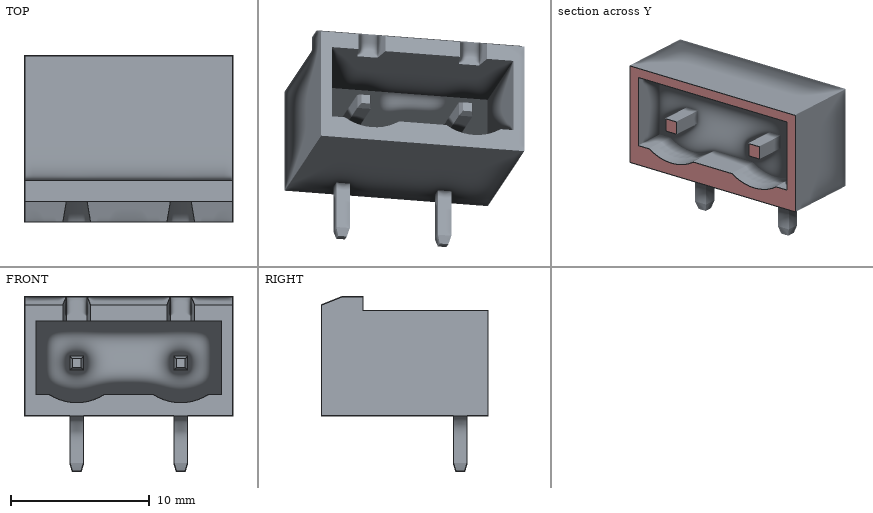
import cadquery as cq

housing_width = 15.0
housing_depth = 12.0
housing_height = 7.6

lip_rise = 1.0
lip_depth = 3.0
lip_chamfer_depth = 1.5
lip_chamfer_drop = 0.6
lip_top = housing_height + lip_rise

side_wall = 0.8
floor_thickness = 1.55
cavity_top = lip_top - 1.75
cavity_depth = 8.5
cavity_width = housing_width - 2 * side_wall

channel_width = 4.0
channel_sag = 0.6

notch_depth = 1.5
notch_front_width = 2.0
notch_back_width = 1.5

pitch = 7.5
contact_positions = (-pitch / 2, pitch / 2)
pin_size = 1.0
pin_tip_size = 0.64
pin_tip_length = 0.6
contact_axis_z = 3.8
contact_front_y = 2.0
solder_pin_y = housing_depth - 2.0
solder_pin_length = 4.0


def make_housing():
    """Side profile with the chamfered lip, extruded over the full width."""
    profile = [
        (0, 0),
        (housing_depth, 0),
        (housing_depth, housing_height),
        (lip_depth, housing_height),
        (lip_depth, lip_top),
        (lip_chamfer_depth, lip_top),
        (0, lip_top - lip_chamfer_drop),
    ]
    return cq.Workplane("YZ").polyline(profile).close().extrude(housing_width / 2, both=True)


def make_cavity():
    """Plug cavity, open at the front, with a rounded channel below each contact."""
    half_width = cavity_width / 2
    outline = cq.Workplane("XZ").moveTo(-half_width, cavity_top).lineTo(-half_width, floor_thickness)
    for x in contact_positions:
        outline = outline.lineTo(x - channel_width / 2, floor_thickness)
        outline = outline.threePointArc(
            (x, floor_thickness - channel_sag),
            (x + channel_width / 2, floor_thickness),
        )
    outline = outline.lineTo(half_width, floor_thickness).lineTo(half_width, cavity_top).close()
    return outline.extrude(-cavity_depth)


def make_notch(x):
    """Notch from the lip top down into the cavity, narrowing towards the back."""
    plan = [
        (x - notch_front_width / 2, 0),
        (x + notch_front_width / 2, 0),
        (x + notch_back_width / 2, notch_depth),
        (x - notch_back_width / 2, notch_depth),
    ]
    base = cq.Workplane("XY").workplane(offset=cavity_top)
    return base.polyline(plan).close().extrude(lip_top - cavity_top)


def make_pin(origin, direction, length):
    """Square pin that runs from origin along direction and ends in a tapered tip."""
    shank_length = length - pin_tip_length
    base = cq.Workplane(cq.Plane(origin=origin, xDir=(1, 0, 0), normal=direction))
    shank = base.rect(pin_size, pin_size).extrude(shank_length)
    tip = (
        base.workplane(offset=shank_length)
        .rect(pin_size, pin_size)
        .workplane(offset=pin_tip_length)
        .rect(pin_tip_size, pin_tip_size)
        .loft(ruled=True)
    )
    return shank.union(tip)


def make_contact(x):
    """Right-angle contact: a mating pin in the cavity and a solder pin below."""
    elbow = (x, solder_pin_y, contact_axis_z)
    mating_pin = make_pin(elbow, (0, -1, 0), solder_pin_y - contact_front_y)
    solder_pin = make_pin(elbow, (0, 0, -1), contact_axis_z + solder_pin_length)
    return mating_pin.union(solder_pin)


result = make_housing().cut(make_cavity())
for contact_x in contact_positions:
    result = result.cut(make_notch(contact_x))
    result = result.union(make_contact(contact_x))